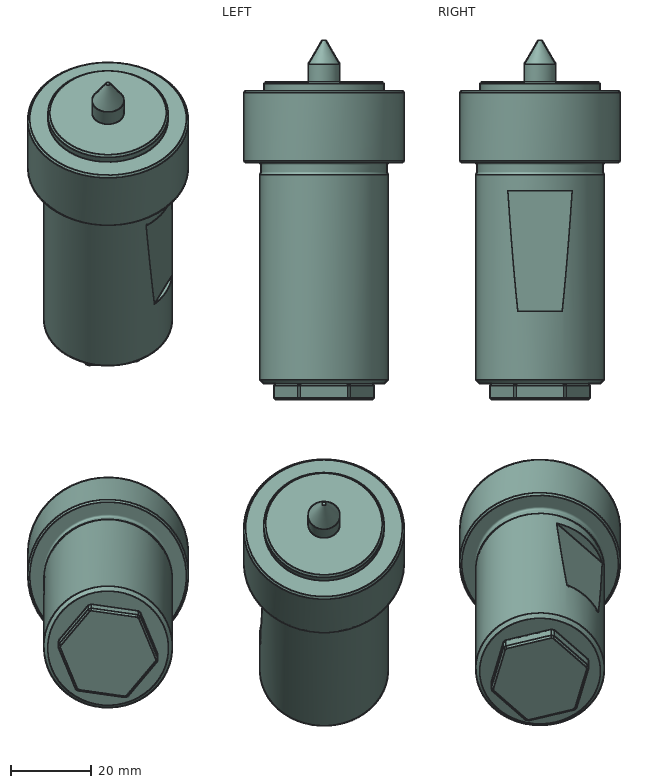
import cadquery as cq
import math

total_height = 89.5
edge_chamfer = 0.5

hex_across_flats = 22.0
hex_corner_diameter = 25.0
hex_height = 4.0

barrel_diameter = 32.0
barrel_chamfer = 1.0
barrel_top = 56.0
barrel_chamfer_top = 56.5
neck_bottom = 56.7
neck_fillet = 0.5
neck_diameter = 31.4
head_diameter = 40.0
head_bottom = 59.0
head_top = 77.0
boss_diameter = 30.0
boss_top = 79.1

flat_bottom = 22.0
flat_top = 52.0
flat_bottom_offset = 15.0
flat_top_offset = 13.9

pin_diameter = 8.0
pin_tip_diameter = 1.0
pin_bottom = head_top
cone_base = 83.5


def cylinder(diameter, bottom, top):
    return cq.Workplane("XY").workplane(offset=bottom).circle(diameter / 2).extrude(top - bottom)


def make_hex_plug():
    """Hexagon with corners on the Y axis, turned down at the corners, chamfered top and bottom."""
    corner_circle = 2 * hex_across_flats / math.sqrt(3)
    hexagon = (
        cq.Workplane("XY")
        .transformed(rotate=(0, 0, 90))
        .polygon(6, corner_circle)
        .extrude(hex_height)
    )
    turned = hexagon.intersect(cylinder(hex_corner_diameter, 0, hex_height))
    return turned.faces("<Z or >Z").chamfer(edge_chamfer)


def make_flat_cutter():
    """Wedge that cuts the tapered flat right across the barrel."""
    outside = barrel_diameter
    profile = [
        (flat_bottom_offset, flat_bottom),
        (outside, flat_bottom),
        (outside, flat_top),
        (flat_top_offset, flat_top),
    ]
    return cq.Workplane("XZ").polyline(profile).close().extrude(barrel_diameter / 2, both=True)


def make_housing_blank():
    """Turned barrel, neck, head and boss; small fillets lead from the neck to the barrel and head."""
    barrel_radius = barrel_diameter / 2
    neck_radius = neck_diameter / 2
    head_radius = head_diameter / 2
    boss_radius = boss_diameter / 2
    fillet_center_radius = neck_radius + neck_fillet

    def fillet_radius_at(height_into_fillet):
        """Housing radius at an axial distance into a neck fillet."""
        return fillet_center_radius - math.sqrt(neck_fillet ** 2 - height_into_fillet ** 2)

    lower_fillet_height = neck_bottom - barrel_chamfer_top
    upper_fillet_start = head_bottom - neck_fillet
    return (
        cq.Workplane("XZ")
        .moveTo(0, hex_height)
        .lineTo(barrel_radius - barrel_chamfer, hex_height)
        .lineTo(barrel_radius, hex_height + barrel_chamfer)
        .lineTo(barrel_radius, barrel_top)
        .lineTo(fillet_radius_at(lower_fillet_height), barrel_chamfer_top)
        .threePointArc(
            (fillet_radius_at(lower_fillet_height / 2), neck_bottom - lower_fillet_height / 2),
            (neck_radius, neck_bottom),
        )
        .lineTo(neck_radius, upper_fillet_start)
        .threePointArc(
            (fillet_radius_at(neck_fillet / 2), upper_fillet_start + neck_fillet / 2),
            (fillet_center_radius, head_bottom),
        )
        .lineTo(head_radius - edge_chamfer, head_bottom)
        .lineTo(head_radius, head_bottom + edge_chamfer)
        .lineTo(head_radius, head_top - edge_chamfer)
        .lineTo(head_radius - edge_chamfer, head_top)
        .lineTo(boss_radius, head_top)
        .lineTo(boss_radius, boss_top - edge_chamfer)
        .lineTo(boss_radius - edge_chamfer, boss_top)
        .lineTo(0, boss_top)
        .close()
        .revolve(360, (0, 0), (0, 1))
    )


def make_housing():
    """Turned blank with the tapered flat and the blind pin hole cut from it."""
    pin_hole = cylinder(pin_diameter, pin_bottom, boss_top)
    return make_housing_blank().cut(make_flat_cutter()).cut(pin_hole)


def make_pin():
    """Pin seated in the housing, with a conical point ending in a small flat."""
    profile = [
        (0, pin_bottom),
        (pin_diameter / 2, pin_bottom),
        (pin_diameter / 2, cone_base),
        (pin_tip_diameter / 2, total_height),
        (0, total_height),
    ]
    return cq.Workplane("XZ").polyline(profile).close().revolve(360, (0, 0), (0, 1))


hex_plug = make_hex_plug()
housing = make_housing()
pin = make_pin()

result = cq.Compound.makeCompound([housing.val(), hex_plug.val(), pin.val()])